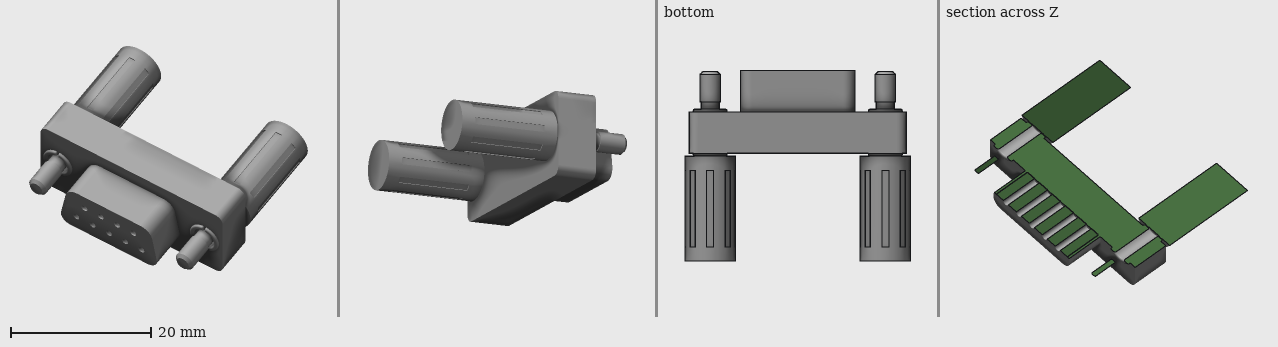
import cadquery as cq
import math


BLOCK_WIDTH = 31.05
BLOCK_DEPTH = 5.95
BLOCK_HEIGHT = 12.5
BLOCK_CORNER_RADIUS = 1.3

SHELL_WIDTH = 16.35
SHELL_HEIGHT = 7.85
SHELL_LENGTH = 5.95
SHELL_WALL = 0.5
SHELL_SIDE_ANGLE = math.radians(10)
SHELL_TOP_RADIUS = 2.05
SHELL_BOTTOM_RADIUS = 1.58

CONTACT_DIAMETER = 1.0
CONTACT_PITCH = 2.77
CONTACT_ROW_SPACING = 2.85
TOP_ROW_COUNT = 4
BOTTOM_ROW_COUNT = 5

OVERALL_WIDTH = 32.25
KNOB_DIAMETER = 7.25
KNOB_LENGTH = 14.97
SCREW_SPACING = OVERALL_WIDTH - KNOB_DIAMETER
SCREW_POSITIONS = [-SCREW_SPACING / 2, SCREW_SPACING / 2]
NECK_DIAMETER = 2.6
THREAD_DIAMETER = 2.97
THREAD_LENGTH = 4.35
TIP_SETBACK = 0.15
TIP_CHAMFER = 0.45

GROOVE_COUNT = 8
GROOVE_WIDTH = 1.0
GROOVE_DEPTH = 0.15
GROOVE_END_MARGIN = 2.03

COLLAR_OUTER_DIAMETER = 4.85
COLLAR_HEIGHT = 0.4
COLLAR_EDGE_RADIUS = 0.25
COLLAR_SLIT = 0.3
COLLAR_SLIT_CORNER_RADIUS = 0.23
SCREW_HOLE_DIAMETER = 3.35


def facing_front(y):
    """Workplane at the given Y, with local x along +X, local y along +Z and extrusion toward -Y."""
    return cq.Workplane("XZ", origin=(0, y, 0))


def shell_outline():
    """Wire of the rounded trapezoid around the shell, in the plane of the block's front face."""
    half_height = SHELL_HEIGHT / 2
    bottom_x = SHELL_WIDTH / 2 - SHELL_BOTTOM_RADIUS
    bottom_z = -half_height + SHELL_BOTTOM_RADIUS
    top_z = half_height - SHELL_TOP_RADIUS
    top_x = (
        bottom_x
        - (top_z - bottom_z) * math.tan(SHELL_SIDE_ANGLE)
        - (SHELL_TOP_RADIUS - SHELL_BOTTOM_RADIUS) / math.cos(SHELL_SIDE_ANGLE)
    )

    def on_top_arc(angle):
        return (top_x + SHELL_TOP_RADIUS * math.cos(angle), top_z + SHELL_TOP_RADIUS * math.sin(angle))

    def on_bottom_arc(angle):
        return (
            bottom_x + SHELL_BOTTOM_RADIUS * math.cos(angle),
            bottom_z + SHELL_BOTTOM_RADIUS * math.sin(angle),
        )

    def mirrored(point):
        return (-point[0], point[1])

    up = math.pi / 2
    side = SHELL_SIDE_ANGLE
    top_start, top_middle, top_end = [on_top_arc(a) for a in (up, (up + side) / 2, side)]
    bottom_start, bottom_middle, bottom_end = [on_bottom_arc(a) for a in (side, (side - up) / 2, -up)]
    return (
        facing_front(0)
        .moveTo(*mirrored(top_start))
        .lineTo(*top_start)
        .threePointArc(top_middle, top_end)
        .lineTo(*bottom_start)
        .threePointArc(bottom_middle, bottom_end)
        .lineTo(*mirrored(bottom_end))
        .threePointArc(mirrored(bottom_middle), mirrored(bottom_start))
        .lineTo(*mirrored(top_end))
        .threePointArc(mirrored(top_middle), mirrored(top_start))
        .close()
    )


def insert_blank():
    """Solid that fills the shell out to its inner wall."""
    return shell_outline().offset2D(-SHELL_WALL).extrude(SHELL_LENGTH)


def make_collar(x):
    """C-shaped collar on the front face of the block, slit at the top and rounded at its free end."""
    slit_height = COLLAR_OUTER_DIAMETER / 2
    ring = (
        facing_front(0)
        .center(x, 0)
        .circle(COLLAR_OUTER_DIAMETER / 2)
        .circle(SCREW_HOLE_DIAMETER / 2)
        .extrude(COLLAR_HEIGHT)
    )
    slit = facing_front(0).center(x, slit_height / 2).rect(COLLAR_SLIT, slit_height).extrude(COLLAR_HEIGHT)
    outer_slit_edges = cq.selectors.BoxSelector(
        (x - COLLAR_SLIT, -COLLAR_HEIGHT, (SCREW_HOLE_DIAMETER + COLLAR_OUTER_DIAMETER) / 4),
        (x + COLLAR_SLIT, 0, COLLAR_OUTER_DIAMETER),
    )
    collar = ring.cut(slit).edges("|Y").edges(outer_slit_edges).fillet(COLLAR_SLIT_CORNER_RADIUS)
    return collar.faces("<Y").edges().fillet(COLLAR_EDGE_RADIUS)


def make_housing():
    """Block with the open shell, the two screw holes and their collars."""
    block = (
        facing_front(BLOCK_DEPTH)
        .rect(BLOCK_WIDTH, BLOCK_HEIGHT)
        .extrude(BLOCK_DEPTH)
        .edges("|Y")
        .fillet(BLOCK_CORNER_RADIUS)
    )
    shell = shell_outline().extrude(SHELL_LENGTH).cut(insert_blank())
    housing = block.union(shell)
    for x in SCREW_POSITIONS:
        front_collar = make_collar(x)
        back_collar = front_collar.mirror("XZ", (0, BLOCK_DEPTH / 2, 0))
        screw_hole = (
            facing_front(BLOCK_DEPTH)
            .center(x, 0)
            .circle(SCREW_HOLE_DIAMETER / 2)
            .extrude(BLOCK_DEPTH)
        )
        housing = housing.union(front_collar).union(back_collar).cut(screw_hole)
    return housing


def contact_row(count, z):
    """Centres of one row of contacts, spread evenly about the middle."""
    first_x = -(count - 1) * CONTACT_PITCH / 2
    return [(first_x + i * CONTACT_PITCH, z) for i in range(count)]


def make_insert():
    """Insert that fills the shell, with two staggered rows of contact holes along its whole length."""
    row_z = CONTACT_ROW_SPACING / 2
    contacts = contact_row(TOP_ROW_COUNT, row_z) + contact_row(BOTTOM_ROW_COUNT, -row_z)
    holes = facing_front(0).pushPoints(contacts).circle(CONTACT_DIAMETER / 2).extrude(SHELL_LENGTH)
    return insert_blank().cut(holes)


def make_thumbscrew(x):
    """Grooved knob behind the block, with a neck through the screw hole and a thicker thread in front."""
    knob_front = BLOCK_DEPTH + COLLAR_HEIGHT
    knob_back = knob_front + KNOB_LENGTH
    tip = -SHELL_LENGTH + TIP_SETBACK
    thread_back = tip + THREAD_LENGTH

    profile = [
        (tip, 0),
        (tip, THREAD_DIAMETER / 2 - TIP_CHAMFER),
        (tip + TIP_CHAMFER, THREAD_DIAMETER / 2),
        (thread_back, THREAD_DIAMETER / 2),
        (thread_back, NECK_DIAMETER / 2),
        (knob_front, NECK_DIAMETER / 2),
        (knob_front, KNOB_DIAMETER / 2),
        (knob_back, KNOB_DIAMETER / 2),
        (knob_back, 0),
    ]
    screw = cq.Workplane("YZ").polyline(profile).close().revolve(360, (0, 0, 0), (1, 0, 0))
    groove_floor = KNOB_DIAMETER / 2 - GROOVE_DEPTH
    groove_length = KNOB_LENGTH - 2 * GROOVE_END_MARGIN
    cutter_height = 2 * GROOVE_DEPTH
    groove = (
        cq.Workplane("XY", origin=(0, knob_front + KNOB_LENGTH / 2, groove_floor))
        .rect(GROOVE_WIDTH, groove_length)
        .extrude(cutter_height)
    )
    for i in range(GROOVE_COUNT):
        screw = screw.cut(groove.rotate((0, 0, 0), (0, 1, 0), i * 360 / GROOVE_COUNT))

    return screw.translate((x, 0, 0))


housing = make_housing()
insert = make_insert()
thumbscrews = [make_thumbscrew(x) for x in SCREW_POSITIONS]

result = cq.Compound.makeCompound([housing.val(), insert.val(), *[screw.val() for screw in thumbscrews]])